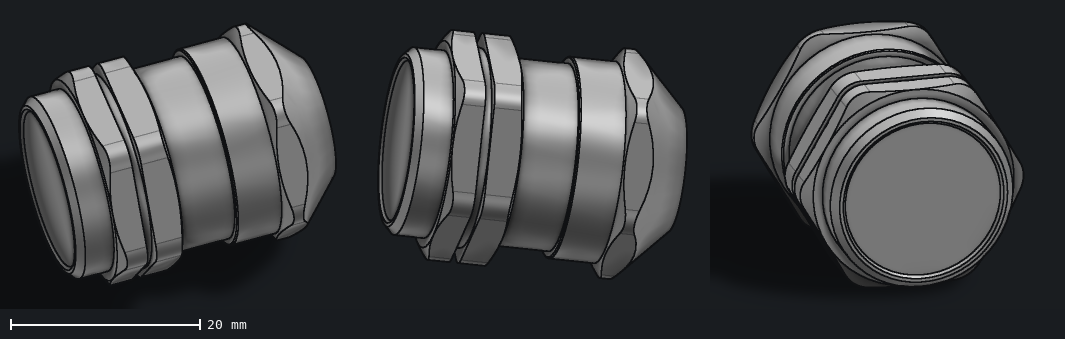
import cadquery as cq
import math

LOCKNUT_START = 4.0
LOCKNUT_END = 7.0
SEAL_END = 8.0
BODY_HEX_END = 11.5
COLLAR_START = 17.5
CAP_START = 22.5
TOTAL_LENGTH = 30.0

HEX_SIDES = 6
ACROSS_FLATS = 22.0
HEX_CORNER_RADIUS = 3.0
BEVEL_ANGLE = 30.0
BODY_BEVEL_ANGLE = 20.0
BODY_BEVEL_FACE_RADIUS = 10.5

BODY_RADIUS = 20.0 / 2
COLLAR_RADIUS = 21.5 / 2
COLLAR_CHAMFER = 0.15
SEAL_RADIUS = 10.7
SEAL_SECTION_RADIUS = 0.8
SEAL_SECTION_CENTER = 7.65
THREAD_CHAMFER = 0.8
CAP_FACE_RADIUS = 6.67
CAP_CONE_ANGLE = 45.0

RECESS_MOUTH_RADIUS = 8.8
RECESS_FLOOR_RADIUS = 8.5
RECESS_DEPTH = 0.3

HALF_SIDE_ANGLE = 180.0 / HEX_SIDES
FLAT_RADIUS = ACROSS_FLATS / 2
SHARP_CORNER_RADIUS = FLAT_RADIUS / math.cos(math.radians(HALF_SIDE_ANGLE))


def revolve_profile(points):
    """Solid of revolution about Y from (radius, y) points."""
    return cq.Workplane("XY").polyline(points).close().revolve(360, (0, 0, 0), (0, 1, 0))


def cylinder(radius, start, end):
    """Round section along Y."""
    return revolve_profile([(0, start), (radius, start), (radius, end), (0, end)])


def hex_prism(start, end):
    """Hexagon along Y with rounded corners, flats facing up and down."""
    return (
        cq.Workplane("XZ", origin=(0, start, 0))
        .polygon(HEX_SIDES, 2 * SHARP_CORNER_RADIUS)
        .extrude(start - end)
        .edges("|Y")
        .fillet(HEX_CORNER_RADIUS)
    )


def cone_rise(face_radius, angle):
    """Axial length of a cone running from face_radius out to the sharp hexagon corner."""
    return (SHARP_CORNER_RADIUS - face_radius) * math.tan(math.radians(angle))


def make_locknut():
    rise = cone_rise(FLAT_RADIUS, BEVEL_ANGLE)
    envelope = revolve_profile([
        (0, LOCKNUT_START),
        (FLAT_RADIUS, LOCKNUT_START),
        (SHARP_CORNER_RADIUS, LOCKNUT_START + rise),
        (SHARP_CORNER_RADIUS, LOCKNUT_END),
        (0, LOCKNUT_END),
    ])
    return hex_prism(LOCKNUT_START, LOCKNUT_END).intersect(envelope)


def make_body_hex():
    rise = cone_rise(BODY_BEVEL_FACE_RADIUS, BODY_BEVEL_ANGLE)
    envelope = revolve_profile([
        (0, SEAL_END),
        (SHARP_CORNER_RADIUS, SEAL_END),
        (SHARP_CORNER_RADIUS, BODY_HEX_END - rise),
        (BODY_BEVEL_FACE_RADIUS, BODY_HEX_END),
        (0, BODY_HEX_END),
    ])
    return hex_prism(SEAL_END, BODY_HEX_END).intersect(envelope)


def make_cap():
    bevel_rise = cone_rise(COLLAR_RADIUS, BEVEL_ANGLE)
    dome_rise = cone_rise(CAP_FACE_RADIUS, CAP_CONE_ANGLE)
    envelope = revolve_profile([
        (0, CAP_START),
        (COLLAR_RADIUS, CAP_START),
        (SHARP_CORNER_RADIUS, CAP_START + bevel_rise),
        (SHARP_CORNER_RADIUS, TOTAL_LENGTH - dome_rise),
        (CAP_FACE_RADIUS, TOTAL_LENGTH),
        (0, TOTAL_LENGTH),
    ])
    return hex_prism(CAP_START, TOTAL_LENGTH).intersect(envelope)


def seal_surface_radius(y):
    """Outer radius of the bulging seal ring at the axial station y."""
    center_radius = SEAL_RADIUS - SEAL_SECTION_RADIUS
    return center_radius + math.sqrt(SEAL_SECTION_RADIUS**2 - (y - SEAL_SECTION_CENTER) ** 2)


def make_seal():
    return (
        cq.Workplane("XY")
        .moveTo(0, LOCKNUT_END)
        .lineTo(seal_surface_radius(LOCKNUT_END), LOCKNUT_END)
        .threePointArc((SEAL_RADIUS, SEAL_SECTION_CENTER), (seal_surface_radius(SEAL_END), SEAL_END))
        .lineTo(0, SEAL_END)
        .close()
        .revolve(360, (0, 0, 0), (0, 1, 0))
    )


def make_recess():
    return revolve_profile([
        (0, 0),
        (RECESS_MOUTH_RADIUS, 0),
        (RECESS_FLOOR_RADIUS, RECESS_DEPTH),
        (0, RECESS_DEPTH),
    ])


body = cylinder(BODY_RADIUS, 0, CAP_START).faces("<Y").chamfer(THREAD_CHAMFER)
collar = cylinder(COLLAR_RADIUS, COLLAR_START, CAP_START).faces("<Y").chamfer(COLLAR_CHAMFER)

result = (
    body.union(collar)
    .union(make_locknut())
    .union(make_seal())
    .union(make_body_hex())
    .union(make_cap())
    .cut(make_recess())
)